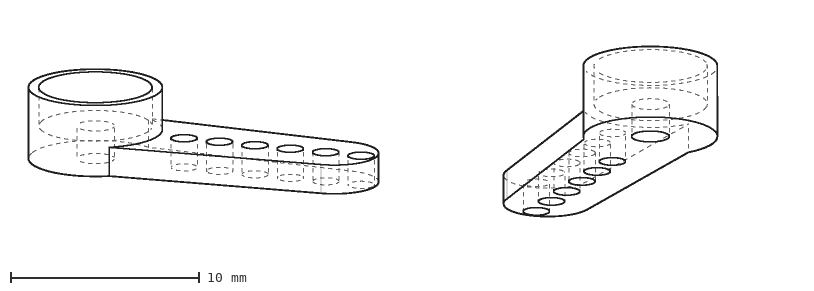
import cadquery as cq
import math

hub_diameter = 7.1
hub_height = 3.9
cup_diameter = 6.0
cup_depth = 2.1
screw_hole_diameter = 2.0

overall_length = 19.35
arm_thickness = 1.59
arm_root_half_width = 3.02
tip_half_width = 2.35
tip_arc_depth = 2.26

link_hole_diameter = 1.4
link_hole_count = 6
link_hole_pitch = 2.0
first_link_hole_x = 5.0

hub_radius = hub_diameter / 2
tip_x = overall_length - hub_radius
tip_start_x = tip_x - tip_arc_depth
arm_root_x = math.sqrt(hub_radius**2 - arm_root_half_width**2)


def make_hub():
    return cq.Workplane("XY").circle(hub_radius).extrude(hub_height)


def make_arm():
    return (
        cq.Workplane("XY")
        .moveTo(0, -arm_root_half_width)
        .lineTo(arm_root_x, -arm_root_half_width)
        .lineTo(tip_start_x, -tip_half_width)
        .threePointArc((tip_x, 0), (tip_start_x, tip_half_width))
        .lineTo(arm_root_x, arm_root_half_width)
        .lineTo(0, arm_root_half_width)
        .close()
        .extrude(arm_thickness)
    )


def make_cup():
    return (
        cq.Workplane("XY")
        .workplane(offset=hub_height - cup_depth)
        .circle(cup_diameter / 2)
        .extrude(cup_depth)
    )


def make_screw_hole():
    return cq.Workplane("XY").circle(screw_hole_diameter / 2).extrude(hub_height)


def make_link_holes():
    centers = [(first_link_hole_x + i * link_hole_pitch, 0) for i in range(link_hole_count)]
    return (
        cq.Workplane("XY")
        .pushPoints(centers)
        .circle(link_hole_diameter / 2)
        .extrude(arm_thickness)
    )


result = make_hub().union(make_arm())
result = result.cut(make_cup()).cut(make_screw_hole()).cut(make_link_holes())